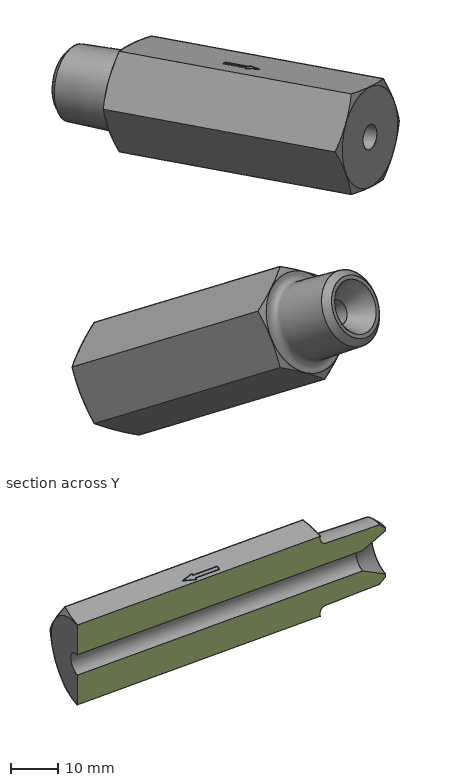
import cadquery as cq
import math

total_length = 74.7
across_flats = 22.25
across_corners = across_flats / math.cos(math.radians(30))

spigot_radius = 8.7
taper_start_radius = 8.4
tip_chamfer = 1.5
tip_radius = taper_start_radius - tip_chamfer
taper_end = 12.25
fillet_start = 14.3
fillet_radius = 1.5
hex_start = fillet_start + fillet_radius

hex_face_radius = 11.05
hex_chamfer_angle = math.radians(20)

mouth_radius = 6.0
bore_radius = 2.8
mouth_half_angle = math.radians(30)
mouth_depth = (mouth_radius - bore_radius) / math.tan(mouth_half_angle)

arrow_start = 39.6
arrow_shaft_end = 45.4
arrow_tip = 48.25
arrow_y = -1.65
arrow_shaft_half_width = 0.5
arrow_head_half_width = 1.05
arrow_depth = 0.15


def revolve_about_x(half_profile):
    return half_profile.close().revolve(360, (0, 0, 0), (1, 0, 0))


def make_spigot():
    fillet_diagonal = fillet_radius * math.sin(math.radians(45))
    fillet_middle = (fillet_start + fillet_diagonal, spigot_radius + fillet_radius - fillet_diagonal)
    profile = (
        cq.Workplane("XY")
        .lineTo(0, tip_radius)
        .lineTo(tip_chamfer, taper_start_radius)
        .lineTo(taper_end, spigot_radius)
        .lineTo(fillet_start, spigot_radius)
        .threePointArc(fillet_middle, (hex_start, spigot_radius + fillet_radius))
        .lineTo(hex_start, 0)
    )
    return revolve_about_x(profile)


def make_hex_body():
    prism = (
        cq.Workplane("YZ", origin=(hex_start, 0, 0))
        .polygon(6, across_corners)
        .extrude(total_length - hex_start)
    )
    corner_radius = across_corners / 2
    setback = (corner_radius - hex_face_radius) * math.tan(hex_chamfer_angle)
    chamfer_envelope = (
        cq.Workplane("XY")
        .moveTo(hex_start, 0)
        .lineTo(hex_start, hex_face_radius)
        .lineTo(hex_start + setback, corner_radius)
        .lineTo(total_length - setback, corner_radius)
        .lineTo(total_length, hex_face_radius)
        .lineTo(total_length, 0)
    )
    return prism.intersect(revolve_about_x(chamfer_envelope))


def make_bore():
    profile = (
        cq.Workplane("XY")
        .lineTo(0, mouth_radius)
        .lineTo(mouth_depth, bore_radius)
        .lineTo(total_length, bore_radius)
        .lineTo(total_length, 0)
    )
    return revolve_about_x(profile)


def make_arrow():
    upper_half = [
        (arrow_start, arrow_shaft_half_width),
        (arrow_shaft_end, arrow_shaft_half_width),
        (arrow_shaft_end, arrow_head_half_width),
    ]
    lower_half = [(x, -y) for x, y in reversed(upper_half)]
    outline = upper_half + [(arrow_tip, 0)] + lower_half
    arrow_floor = across_flats / 2 - arrow_depth
    return (
        cq.Workplane("XY", origin=(0, arrow_y, arrow_floor))
        .polyline(outline)
        .close()
        .extrude(arrow_depth)
    )


body = make_spigot().union(make_hex_body())
part = body.cut(make_bore()).cut(make_arrow())

result = part.translate((-total_length / 2, 0, 0))